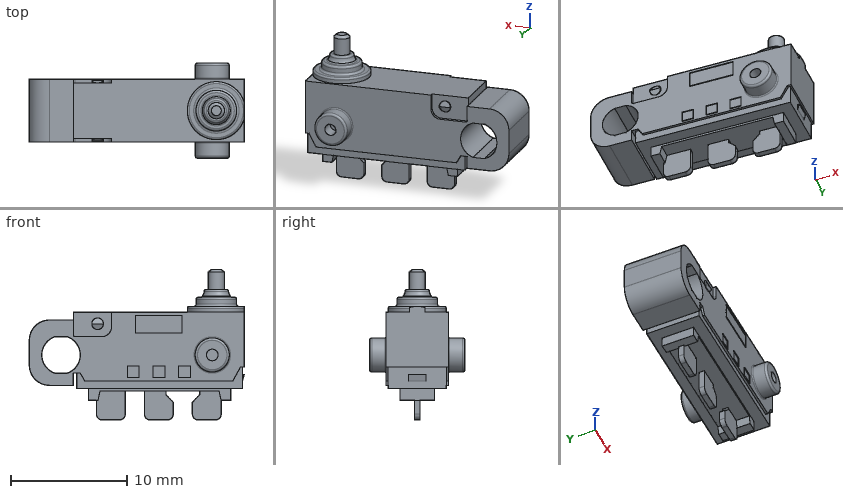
import cadquery as cq


LENGTH = 18.5
BODY_WIDTH = 5.4
BODY_TOP = 3.68
BODY_BOTTOM = -2.22
LUG_LENGTH = 3.8
LUG_TOP = 3.02
LUG_BOTTOM = -2.63
LUG_CORNER_RADIUS = 1.75
SLOT_TOP = -1.55
LEFT_BEVEL_TOP_X = 4.38
LEFT_BEVEL_BOTTOM_X = 4.77
STEP_Z = -1.05
STEP_X = 18.17
RIGHT_BEVEL_BOTTOM_X = 17.52
HALF_WIDTH = BODY_WIDTH / 2

HOLE_X = 2.74
HOLE_DIAMETER = 3.3
HOLE_HEIGHT = 3.13

PAD_RIGHT = 7.09
PAD_BOTTOM = 1.57
PAD_DEPTH = 0.31
PAD_RADIUS = 0.85
PAD_SMALL_RADIUS = 0.17
BOSS_X = 5.88
BOSS_Z = 2.68
BOSS_DIAMETER = 1.0
BOSS_HEIGHT = 0.2

MARK_DEPTH = 0.07
LABEL_SIZE = (3.98, 1.52)
LABEL_CENTRE = (11.14, 2.65)
NUMBER_SIZE = (1.02, 1.02)
NUMBER_Z = -1.45
NUMBER_XS = (8.95, 11.17, 13.35)

PIN_X = 15.75
PIN_DIAMETER = 2.95
PIN_SPAN = 8.2
PIN_TIP_RADIUS = 0.2
PIN_FOOT_RADIUS = 0.1
PIN_HOLE_DIAMETER = 1.0
PIN_HEIGHT = (PIN_SPAN - BODY_WIDTH) / 2

COVER_LEFT = 4.07
COVER_RIGHT = 18.35
COVER_BOTTOM = -2.89
COVER_WIDTH = 5.0
BLOCK_LEFT = 5.09
BLOCK_RIGHT = 17.33
BLOCK_BOTTOM = -3.9
BLOCK_WIDTH = 2.98
CHANNEL_TOP = -3.1
CHANNEL_TOP_LEFT = 6.09
CHANNEL_TOP_RIGHT = 16.34
CHANNEL_FLARE = 0.17
LATCH_TOP = -1.66
LATCH_HEIGHT = 0.55
LATCH_WIDTH = 1.48

TERMINAL_WIDTH = 2.5
TERMINAL_THICKNESS = 0.5
TERMINAL_BOTTOM = -5.59
TERMINAL_RADIUS = 0.5
TERMINAL_LEFTS = (5.77, 9.9, 14.02)
NECK_CUT = 0.63
NECK_CUT_TOP = -3.42
NECK_CUT_BOTTOM = -4.07

PLUNGER_X = 16.1
PLUNGER_DIAMETER = 1.4
PLUNGER_TOP = 7.36
PLUNGER_CHAMFER_WIDTH = 0.28
PLUNGER_CHAMFER_HEIGHT = 0.24
FLANGE_DIAMETER = 5.0
FLANGE_TOP = 4.18
FLANGE_ROUND = 0.17
TIER_DIAMETER = 3.5
TIER_TOP = 4.98
TIER_ROUND = 0.2
COLLAR_TOP = 5.65
COLLAR_ROUND = 0.18
COLLAR_TOP_RADIUS = 1.05
COLLAR_FOOT_RADIUS = 1.2
COLLAR_WAIST_ROUND = 0.74
COLLAR_FOOT_ROUND = 0.11


def plate(outline, width):
    """Extrude an XZ outline symmetrically about the mid-plane."""
    return outline.extrude(width / 2, both=True)


def box(x_min, x_max, width, z_min, z_max):
    """Box centred on the mid-plane in Y."""
    return cq.Workplane().box(x_max - x_min, width, z_max - z_min).translate(
        ((x_min + x_max) / 2, 0, (z_min + z_max) / 2)
    )


def with_mirror(shape):
    """The shape together with its reflection on the other side of the mid-plane."""
    return shape.union(shape.mirror("XZ"))


def make_body():
    outline = cq.Workplane("XZ").polyline([
        (0, LUG_TOP),
        (LUG_LENGTH, LUG_TOP),
        (LUG_LENGTH, BODY_TOP),
        (LENGTH, BODY_TOP),
        (LENGTH, STEP_Z),
        (STEP_X, STEP_Z),
        (RIGHT_BEVEL_BOTTOM_X, BODY_BOTTOM),
        (LEFT_BEVEL_BOTTOM_X, BODY_BOTTOM),
        (LEFT_BEVEL_TOP_X, SLOT_TOP),
        (LUG_LENGTH, SLOT_TOP),
        (LUG_LENGTH, LUG_BOTTOM),
        (0, LUG_BOTTOM),
    ]).close()
    body = plate(outline, BODY_WIDTH).edges("|Y and <X").fillet(LUG_CORNER_RADIUS)
    bore = plate(cq.Workplane("XZ").center(HOLE_X, 0).circle(HOLE_DIAMETER / 2), BODY_WIDTH)
    flats = box(0, 2 * HOLE_X, BODY_WIDTH, -HOLE_HEIGHT / 2, HOLE_HEIGHT / 2)
    return body.cut(bore.intersect(flats))


def make_pad_pocket():
    """Pocket in the -Y side, open at the top."""
    pad_width = PAD_RIGHT - LUG_LENGTH
    pad_height = BODY_TOP - PAD_BOTTOM
    pocket = cq.Workplane("XY").box(pad_width, PAD_DEPTH, pad_height, centered=False)
    pocket = pocket.translate((LUG_LENGTH, -HALF_WIDTH, PAD_BOTTOM))
    pocket = pocket.edges("|Y and >X and <Z").fillet(PAD_RADIUS)
    return pocket.edges("|Y and <X and <Z").fillet(PAD_SMALL_RADIUS)


def make_pad_boss():
    """Round boss on the -Y pad whose face is a roof with a level ridge."""
    floor_y = -HALF_WIDTH + PAD_DEPTH
    radius = BOSS_DIAMETER / 2
    roof = (
        cq.Workplane("YZ", origin=(BOSS_X, 0, BOSS_Z))
        .polyline([(floor_y, -radius), (floor_y - BOSS_HEIGHT, 0), (floor_y, radius)])
        .close()
        .extrude(radius, both=True)
    )
    round_limit = plate(cq.Workplane("XZ").center(BOSS_X, BOSS_Z).circle(radius), BODY_WIDTH)
    return roof.intersect(round_limit)


def make_marking_recess(centre, size):
    face = cq.Workplane("XZ", origin=(0, -HALF_WIDTH, 0))
    return face.center(*centre).rect(*size).extrude(-MARK_DEPTH)


def make_pin():
    """Pin on the -Y side: rounded tip, flared foot and a blind centre hole."""
    radius = PIN_DIAMETER / 2
    hole_radius = PIN_HOLE_DIAMETER / 2
    tip, foot = PIN_TIP_RADIUS, PIN_FOOT_RADIUS
    return (
        cq.Workplane("XY", origin=(PIN_X, -HALF_WIDTH, 0))
        .moveTo(0, 0)
        .lineTo(radius + foot, 0)
        .radiusArc((radius, -foot), -foot)
        .lineTo(radius, tip - PIN_HEIGHT)
        .radiusArc((radius - tip, -PIN_HEIGHT), tip)
        .lineTo(hole_radius, -PIN_HEIGHT)
        .lineTo(hole_radius, 0)
        .close()
        .revolve(360, (0, 0, 0), (0, 1, 0))
    )


def make_base():
    cover = box(COVER_LEFT, COVER_RIGHT, COVER_WIDTH, COVER_BOTTOM, SLOT_TOP)
    cover_end = box(RIGHT_BEVEL_BOTTOM_X, COVER_RIGHT, COVER_WIDTH, COVER_BOTTOM, STEP_Z)
    block = box(BLOCK_LEFT, BLOCK_RIGHT, BLOCK_WIDTH, BLOCK_BOTTOM, COVER_BOTTOM)
    channel = plate(cq.Workplane("XZ").polyline([
        (CHANNEL_TOP_LEFT, CHANNEL_TOP),
        (CHANNEL_TOP_RIGHT, CHANNEL_TOP),
        (CHANNEL_TOP_RIGHT + CHANNEL_FLARE, BLOCK_BOTTOM),
        (CHANNEL_TOP_LEFT - CHANNEL_FLARE, BLOCK_BOTTOM),
    ]).close(), BLOCK_WIDTH)
    latch = plate(cq.Workplane("XZ").polyline([
        (COVER_RIGHT, LATCH_TOP),
        (LENGTH, LATCH_TOP),
        (COVER_RIGHT, LATCH_TOP - LATCH_HEIGHT),
    ]).close(), LATCH_WIDTH)
    return cover.union(cover_end).union(block.cut(channel)).union(latch)


def make_terminal(left):
    blade = box(left, left + TERMINAL_WIDTH, TERMINAL_THICKNESS, TERMINAL_BOTTOM, COVER_BOTTOM)
    return blade.edges("|Y and <Z").fillet(TERMINAL_RADIUS)


def make_neck_cut(side_x, inward):
    """Cut-out beside a terminal root; inward is +1 or -1, from the side into the blade."""
    neck_x = side_x + inward * NECK_CUT
    return plate(cq.Workplane("XZ").polyline([
        (side_x, CHANNEL_TOP),
        (neck_x, CHANNEL_TOP),
        (neck_x, NECK_CUT_TOP),
        (side_x, NECK_CUT_BOTTOM),
    ]).close(), TERMINAL_THICKNESS)


def make_terminals():
    left, middle, right = TERMINAL_LEFTS
    middle_blade = make_terminal(middle).cut(make_neck_cut(middle + TERMINAL_WIDTH, -1))
    right_blade = make_terminal(right).cut(make_neck_cut(right, 1))
    return make_terminal(left).union(middle_blade).union(right_blade)


def make_plunger():
    """Turned stack of flange, tier, collar and plunger, trimmed flush with the body end."""
    flange_radius = FLANGE_DIAMETER / 2
    tier_radius = TIER_DIAMETER / 2
    stem_radius = PLUNGER_DIAMETER / 2
    stack = (
        cq.Workplane("XZ", origin=(PLUNGER_X, 0, 0))
        .moveTo(0, BODY_TOP)
        .lineTo(flange_radius, BODY_TOP)
        .lineTo(flange_radius, FLANGE_TOP - FLANGE_ROUND)
        .radiusArc((flange_radius - FLANGE_ROUND, FLANGE_TOP), -FLANGE_ROUND)
        .lineTo(tier_radius + TIER_ROUND, FLANGE_TOP)
        .radiusArc((tier_radius, FLANGE_TOP + TIER_ROUND), TIER_ROUND)
        .lineTo(tier_radius, TIER_TOP - TIER_ROUND)
        .radiusArc((tier_radius - TIER_ROUND, TIER_TOP), -TIER_ROUND)
        .lineTo(COLLAR_FOOT_RADIUS + COLLAR_FOOT_ROUND, TIER_TOP)
        .radiusArc((COLLAR_FOOT_RADIUS, TIER_TOP + COLLAR_FOOT_ROUND), COLLAR_FOOT_ROUND)
        .radiusArc((COLLAR_TOP_RADIUS, COLLAR_TOP - COLLAR_ROUND), COLLAR_WAIST_ROUND)
        .radiusArc((COLLAR_TOP_RADIUS - COLLAR_ROUND, COLLAR_TOP), -COLLAR_ROUND)
        .lineTo(stem_radius, COLLAR_TOP)
        .lineTo(stem_radius, PLUNGER_TOP - PLUNGER_CHAMFER_HEIGHT)
        .lineTo(stem_radius - PLUNGER_CHAMFER_WIDTH, PLUNGER_TOP)
        .lineTo(0, PLUNGER_TOP)
        .close()
        .revolve(360, (0, 0, 0), (0, 1, 0))
    )
    return stack.intersect(box(0, LENGTH, BODY_WIDTH, BODY_TOP, PLUNGER_TOP))


body = make_body().cut(with_mirror(make_pad_pocket()))
body = body.union(with_mirror(make_pad_boss())).union(with_mirror(make_pin()))
body = body.cut(make_marking_recess(LABEL_CENTRE, LABEL_SIZE))
for number_x in NUMBER_XS:
    body = body.cut(make_marking_recess((number_x, NUMBER_Z), NUMBER_SIZE))

result = body.union(make_base()).union(make_terminals()).union(make_plunger())